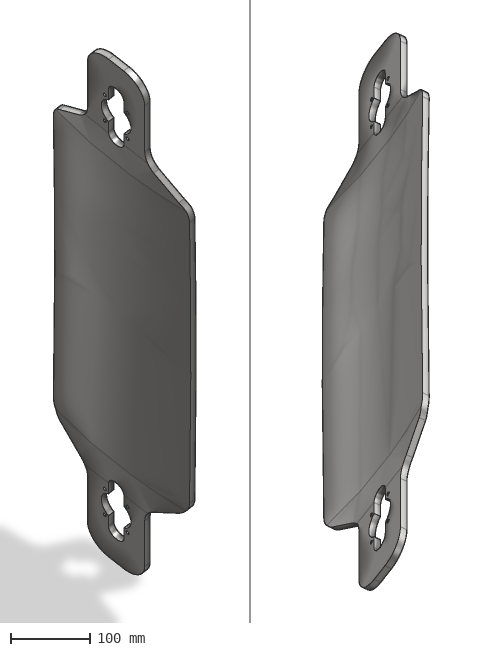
import cadquery as cq

LENGTH = 1016.0
WIDTH = 242.0
DEPTH = 21.0
THICKNESS = 9.7
CAMBER = 2.5
CONCAVE = DEPTH - THICKNESS - CAMBER

TAB_WIDTH = 102.0
TAB_START = 358.0
BODY_END = 306.0
CORNER_RADIUS = 38.0

CUTOUT_HEIGHT = 402.0
SLOT_LENGTH = 115.0
SLOT_WIDTH = 27.0
KINGPIN_DIAMETER = 53.0
BOLT_DIAMETER = 5.0
BOLT_SPACING_X = 41.0
BOLT_SPACING_Z = 53.0

CUT_DEPTH = 4 * DEPTH


def curved_section(z, offset):
    """Concave cross-section at height z, moved back by offset."""
    half = WIDTH / 2
    front_edge = offset + CONCAVE
    return (
        cq.Workplane("XY", origin=(0, 0, z))
        .moveTo(-half, front_edge)
        .threePointArc((0, offset), (half, front_edge))
        .lineTo(half, front_edge + THICKNESS)
        .threePointArc((0, offset + THICKNESS), (-half, front_edge + THICKNESS))
        .close()
        .val()
    )


def flat_section(z):
    """Flat cross-section at height z."""
    return cq.Workplane("XY", origin=(0, 0, z)).rect(WIDTH, THICKNESS).val().moved(
        cq.Location(cq.Vector(0, THICKNESS / 2, 0))
    )


def bent_slab():
    """Full-width deck: cambered concave body, shoulders and flat ends."""
    lower = curved_section(-BODY_END, 0)
    middle = curved_section(0, CAMBER)
    upper = curved_section(BODY_END, 0)
    slab = cq.Workplane(cq.Solid.makeLoft([lower, middle, upper]))
    tab_length = LENGTH / 2 - TAB_START
    for side, body_section in ((-1, lower), (1, upper)):
        shoulder = cq.Solid.makeLoft([body_section, flat_section(side * TAB_START)], True)
        tab = (
            cq.Workplane("XY")
            .box(WIDTH, THICKNESS, tab_length)
            .translate((0, THICKNESS / 2, side * (TAB_START + tab_length / 2)))
        )
        slab = slab.union(cq.Workplane(shoulder)).union(tab)
    return slab


def outline_block():
    """Prism with the rounded outline of the deck."""
    right_side = [
        (WIDTH / 2, -BODY_END),
        (WIDTH / 2, BODY_END),
        (TAB_WIDTH / 2, TAB_START),
        (TAB_WIDTH / 2, LENGTH / 2),
    ]
    left_side = [(-x, -z) for x, z in right_side]
    lower_right = [(TAB_WIDTH / 2, -LENGTH / 2), (TAB_WIDTH / 2, -TAB_START)]
    lower_left = [(-x, -z) for x, z in lower_right]
    return (
        cq.Workplane("XZ")
        .polyline(lower_right + right_side + lower_left + left_side)
        .close()
        .extrude(CUT_DEPTH / 2, both=True)
        .edges("|Y")
        .fillet(CORNER_RADIUS)
    )


def truck_cutout(z):
    """Slot, kingpin opening and four bolt holes centred at height z."""
    plane = cq.Workplane("XZ", origin=(0, CUT_DEPTH / 2, z))
    slot = plane.slot2D(SLOT_LENGTH, SLOT_WIDTH, 90).extrude(CUT_DEPTH)
    opening = plane.circle(KINGPIN_DIAMETER / 2).extrude(CUT_DEPTH)
    bolts = (
        plane.rect(BOLT_SPACING_X, BOLT_SPACING_Z, forConstruction=True)
        .vertices()
        .circle(BOLT_DIAMETER / 2)
        .extrude(CUT_DEPTH)
    )
    return slot.union(opening).union(bolts)


deck = bent_slab().intersect(outline_block())
for height in (-CUTOUT_HEIGHT, CUTOUT_HEIGHT):
    deck = deck.cut(truck_cutout(height))

result = deck